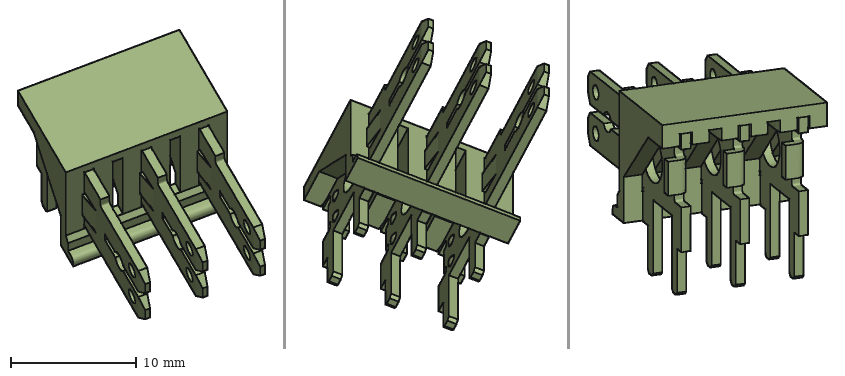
import cadquery as cq
import math


TERMINAL_COUNT = 3
PITCH = 5.08
ROW_START = -PITCH * (TERMINAL_COUNT - 1) / 2

HOUSING_WIDTH = 14.28
HOUSING_DEPTH = 9.0
HOUSING_TOP = 15.0
HOUSING_BOTTOM = 4.08
LIP_DEPTH = 2.95
LIP_BOTTOM = 13.0
WALL_FRONT = 8.05
WALL_TOP = 8.0

FOOT_BACK = 10.4
FOOT_TOP = 4.98
FOOT_RADIUS = 0.5
PAD_BACK = 9.42
PAD_TOP = 6.02
PAD_CHAMFER_TOP = 6.52

SLOT_COUNT = 2 * TERMINAL_COUNT - 1
SLOT_WIDTH = 0.9
SLOT_MOUTH_WIDTH = 1.1
SLOT_MOUTH_DEPTH = 0.8
SLOT_BOTTOM = 6.55

THICKNESS = 0.8
PLATE_TOP = 14.05
SHOULDER_BOTTOM = 4.0
BRIDGE_BOTTOM = 6.5
SMALL_RADIUS = 0.2

LEG_WIDTH = 1.12
FRONT_LEG_X = 0.9
REAR_LEG_X = 5.95
LEG_CHAMFER = 0.28

NOTCH_DEPTH = 1.45
NOTCH_BOTTOM = 7.8
NOTCH_TOP = 12.7
FLANGE_FRONT = 0.4
FLANGE_BOTTOM = 8.78
FLANGE_TOP = 11.68
FLANGE_LENGTH = 1.78
FLANGE_BACK = FLANGE_FRONT + THICKNESS

PLATE_HOLE_DIAMETER = 4.0
PLATE_HOLE_X = 6.0
DIMPLE_X = 2.5
DIMPLE_HEIGHTS = (8.0, 11.1)
DIMPLE_RADIUS = 0.52
DIMPLE_RISE = 0.2

TAB_CENTRE = 10.0
TAB_WIDTH = 6.28
TAB_BOTTOM = TAB_CENTRE - TAB_WIDTH / 2
TAB_TOP = TAB_CENTRE + TAB_WIDTH / 2
TAB_STEP_X = 11.98
TAB_END = 20.0
TIP_LENGTH = 0.9
TIP_START = TAB_END - TIP_LENGTH
TIP_WIDTH = 1.25
TIP_THICKNESS = 0.45
SPLIT_WIDTH = 0.7
SPLIT_START = 12.8
SPLIT_HOLE_DIAMETER = 1.65
SPLIT_HOLE_X = 15.5
PRONG_HOLE_DIAMETER = 1.2
PRONG_HOLE_X = 17.9
PRONG_WIDTH = (TAB_WIDTH - SPLIT_WIDTH) / 2
PRONG_OFFSET = (TAB_WIDTH + SPLIT_WIDTH) / 4

BARB_HINGE_X = 11.08
BARB_LENGTH = 1.98
BARB_RISE = 0.28
BARB_HINGE_WIDTH = 2.95
BARB_TIP_WIDTH = 2.68


def extrude_y(sketch, width):
    """Extrude an XZ sketch symmetrically about Y = 0."""
    return sketch.extrude(width).translate((0, width / 2, 0))


def cylinder_y(x, z, diameter):
    """Round cutter along Y through the terminal plate."""
    return extrude_y(cq.Workplane("XZ").center(x, z).circle(diameter / 2), 2 * THICKNESS)


def box_between(x_range, y_range, z_range):
    """Box given by its lower and upper limit along each axis."""
    size = [high - low for low, high in (x_range, y_range, z_range)]
    corner = (x_range[0], y_range[0], z_range[0])
    return cq.Workplane("XY").box(*size, centered=False).translate(corner)


def make_slot():
    """Slot through the housing along X, flared at its front mouth."""
    outline = [
        (0, SLOT_MOUTH_WIDTH / 2),
        (SLOT_MOUTH_DEPTH, SLOT_WIDTH / 2),
        (HOUSING_DEPTH, SLOT_WIDTH / 2),
        (HOUSING_DEPTH, -SLOT_WIDTH / 2),
        (SLOT_MOUTH_DEPTH, -SLOT_WIDTH / 2),
        (0, -SLOT_MOUTH_WIDTH / 2),
    ]
    slot = cq.Workplane("XY").polyline(outline).close().extrude(PLATE_TOP - SLOT_BOTTOM)
    return slot.translate((0, 0, SLOT_BOTTOM))


def make_housing():
    """Angled housing with a foot along its rear edge and a row of slots."""
    profile = (
        cq.Workplane("XZ")
        .moveTo(0, HOUSING_TOP)
        .lineTo(HOUSING_DEPTH, HOUSING_TOP)
        .lineTo(HOUSING_DEPTH, PAD_CHAMFER_TOP)
        .lineTo(PAD_BACK, PAD_TOP)
        .lineTo(PAD_BACK, FOOT_TOP)
        .lineTo(FOOT_BACK - FOOT_RADIUS, FOOT_TOP)
        .radiusArc((FOOT_BACK, FOOT_TOP - FOOT_RADIUS), FOOT_RADIUS)
        .lineTo(FOOT_BACK, HOUSING_BOTTOM)
        .lineTo(WALL_FRONT, HOUSING_BOTTOM)
        .lineTo(WALL_FRONT, WALL_TOP)
        .lineTo(LIP_DEPTH, LIP_BOTTOM)
        .lineTo(0, LIP_BOTTOM)
        .close()
    )
    body = extrude_y(profile, HOUSING_WIDTH)
    slot = make_slot()
    for index in range(SLOT_COUNT):
        body = body.cut(slot.translate((0, ROW_START + index * PITCH / 2, 0)))
    return body


def make_plate():
    """Flat plate from the front edge to the tab tips, without the legs."""
    outline = [
        (0, SHOULDER_BOTTOM),
        (0, PLATE_TOP),
        (TAB_STEP_X, PLATE_TOP),
        (TAB_STEP_X, TAB_TOP),
        (TIP_START, TAB_TOP),
        (TIP_START, TAB_BOTTOM),
        (WALL_FRONT, TAB_BOTTOM),
        (WALL_FRONT, SHOULDER_BOTTOM),
    ]
    plate = extrude_y(cq.Workplane("XZ").polyline(outline).close(), THICKNESS)
    inner_corner = cq.selectors.BoxSelector(
        (TAB_STEP_X - SMALL_RADIUS, -THICKNESS, TAB_TOP - SMALL_RADIUS),
        (TAB_STEP_X + SMALL_RADIUS, THICKNESS, TAB_TOP + SMALL_RADIUS),
    )
    plate = plate.edges(inner_corner).fillet(SMALL_RADIUS)
    leg_gap = box_between(
        (FRONT_LEG_X + LEG_WIDTH, REAR_LEG_X),
        (-THICKNESS, THICKNESS),
        (SHOULDER_BOTTOM, BRIDGE_BOTTOM),
    )
    return plate.cut(leg_gap).cut(cylinder_y(PLATE_HOLE_X, TAB_CENTRE, PLATE_HOLE_DIAMETER))


def make_leg(x):
    """Solder leg with both lower corners chamfered; x is its front face."""
    leg = box_between(
        (x, x + LEG_WIDTH),
        (-THICKNESS / 2, THICKNESS / 2),
        (0, SHOULDER_BOTTOM),
    )
    return leg.faces("<Z").edges("|Y").chamfer(LEG_CHAMFER)


def make_relief(z_low, z_high):
    """Cutter beside the flange, rounded at its two inner corners."""
    relief = box_between((0, NOTCH_DEPTH), (-THICKNESS, THICKNESS), (z_low, z_high))
    return relief.faces(">X").edges("|Y").fillet(SMALL_RADIUS)


def make_flange_bay():
    """Cutter that clears the plate where the flange bends away."""
    return box_between((0, FLANGE_BACK), (-THICKNESS, THICKNESS), (FLANGE_BOTTOM, FLANGE_TOP))


def make_flange():
    """Flange bent towards +Y, rounded on the outside of the bend."""
    near = -THICKNESS / 2
    far = near + FLANGE_LENGTH
    flange = (
        cq.Workplane("XY")
        .moveTo(FLANGE_BACK, near)
        .radiusArc((FLANGE_FRONT, near + THICKNESS), THICKNESS)
        .lineTo(FLANGE_FRONT, far)
        .lineTo(FLANGE_BACK, far)
        .close()
        .extrude(FLANGE_TOP - FLANGE_BOTTOM)
    )
    return flange.translate((0, 0, FLANGE_BOTTOM))


def make_dimple(z):
    """Spherical dimple standing out of the -Y face."""
    sphere_radius = (DIMPLE_RADIUS**2 + DIMPLE_RISE**2) / (2 * DIMPLE_RISE)
    centre_y = -THICKNESS / 2 - DIMPLE_RISE + sphere_radius
    sphere = cq.Workplane("XY").sphere(sphere_radius, direct=(0, -1, 0))
    sphere = sphere.translate((DIMPLE_X, centre_y, z))
    keep = box_between(
        (DIMPLE_X - sphere_radius, DIMPLE_X + sphere_radius),
        (-THICKNESS, -THICKNESS / 2),
        (z - sphere_radius, z + sphere_radius),
    )
    return sphere.intersect(keep)


def make_split():
    """Cutter for the slit between the prongs, with its relief hole."""
    slit = box_between(
        (SPLIT_START, TAB_END),
        (-THICKNESS, THICKNESS),
        (TAB_CENTRE - SPLIT_WIDTH / 2, TAB_CENTRE + SPLIT_WIDTH / 2),
    )
    return slit.union(cylinder_y(SPLIT_HOLE_X, TAB_CENTRE, SPLIT_HOLE_DIAMETER))


def make_prong_tip(z):
    """Tip of a prong, tapered in height and in thickness; z is its centre."""
    return (
        cq.Workplane("YZ", origin=(TIP_START, 0, z))
        .rect(THICKNESS, PRONG_WIDTH)
        .workplane(offset=TIP_LENGTH)
        .rect(TIP_THICKNESS, TIP_WIDTH)
        .loft(ruled=True)
    )


def make_barb():
    """Sloping barb that rises from its hinge line towards the housing."""
    face = -THICKNESS / 2
    slope = math.asin(BARB_RISE / BARB_LENGTH)
    tip_x = BARB_HINGE_X - BARB_LENGTH * math.cos(slope)
    root_x = tip_x - BARB_RISE * math.tan(slope)
    side = (
        cq.Workplane("XY")
        .polyline([(BARB_HINGE_X, face), (tip_x, face - BARB_RISE), (root_x, face)])
        .close()
        .extrude(BARB_HINGE_WIDTH)
        .translate((0, 0, TAB_CENTRE - BARB_HINGE_WIDTH / 2))
    )
    front = (
        cq.Workplane("XZ")
        .polyline([
            (BARB_HINGE_X, TAB_CENTRE + BARB_HINGE_WIDTH / 2),
            (root_x, TAB_CENTRE + BARB_TIP_WIDTH / 2),
            (root_x, TAB_CENTRE - BARB_TIP_WIDTH / 2),
            (BARB_HINGE_X, TAB_CENTRE - BARB_HINGE_WIDTH / 2),
        ])
        .close()
    )
    return side.intersect(extrude_y(front, 2 * THICKNESS))


def make_terminal():
    """Sheet-metal terminal centred on Y = 0."""
    terminal = make_plate()
    for x in (FRONT_LEG_X, REAR_LEG_X):
        terminal = terminal.union(make_leg(x))
    terminal = terminal.cut(make_relief(NOTCH_BOTTOM, FLANGE_BOTTOM))
    terminal = terminal.cut(make_relief(FLANGE_TOP, NOTCH_TOP))
    terminal = terminal.cut(make_flange_bay()).union(make_flange())
    for z in DIMPLE_HEIGHTS:
        terminal = terminal.union(make_dimple(z))
    terminal = terminal.cut(make_split())
    for z in (TAB_CENTRE - PRONG_OFFSET, TAB_CENTRE + PRONG_OFFSET):
        terminal = terminal.union(make_prong_tip(z))
        terminal = terminal.cut(cylinder_y(PRONG_HOLE_X, z, PRONG_HOLE_DIAMETER))
    return terminal.union(make_barb())


housing = make_housing()
terminal = make_terminal()
terminals = [
    terminal.translate((0, ROW_START + index * PITCH, 0))
    for index in range(TERMINAL_COUNT)
]

result = cq.Compound.makeCompound([housing.solids().val(), *[item.solids().val() for item in terminals]])